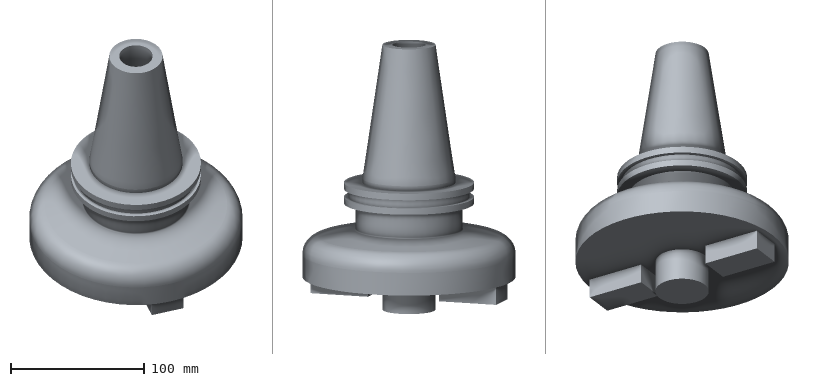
import cadquery as cq
import math


GAUGE_DIAMETER = 69.85
TAPER_END_DIAMETER = 40.0
TAPER_LENGTH = 101.6
BORE_DIAMETER = 25.0
BORE_DEPTH = 45.0

FLANGE_DIAMETER = 97.5
FLANGE_TOP = -3.2
FLANGE_BOTTOM = -19.1
GROOVE_DIAMETER = 91.0
GROOVE_TOP = -8.1
GROOVE_BOTTOM = -14.3

NECK_DIAMETER = 80.0
NECK_FILLET_RADIUS = 1.0
BODY_DIAMETER = 160.0
BODY_BOTTOM = -75.0
SHOULDER_RADIUS = 14.0
SHOULDER_BOTTOM = -57.7
SHOULDER_SLOPE = 10.0

PILOT_DIAMETER = 40.0
PILOT_BOTTOM = -100.0
KEY_WIDTH = 25.0
KEY_HEIGHT = 15.0
KEY_INNER_X = 28.3
KEY_OUTER_X = 73.7


def make_disc(diameter, bottom, top):
    return cq.Workplane("XY").workplane(offset=bottom).circle(diameter / 2).extrude(top - bottom)


def make_taper():
    profile = (
        cq.Workplane("XZ")
        .moveTo(0, 0)
        .lineTo(GAUGE_DIAMETER / 2, 0)
        .lineTo(TAPER_END_DIAMETER / 2, TAPER_LENGTH)
        .lineTo(0, TAPER_LENGTH)
        .close()
    )
    return profile.revolve(360, (0, 0, 0), (0, 1, 0))


def make_flange():
    upper_rim = make_disc(FLANGE_DIAMETER, GROOVE_TOP, FLANGE_TOP)
    groove_floor = make_disc(GROOVE_DIAMETER, GROOVE_BOTTOM, GROOVE_TOP)
    lower_rim = make_disc(FLANGE_DIAMETER, FLANGE_BOTTOM, GROOVE_BOTTOM)
    return upper_rim.union(groove_floor).union(lower_rim)


def make_body():
    """Neck filleted into a shallow cone, which runs tangentially into the rounded shoulder."""
    slope = math.radians(SHOULDER_SLOPE)
    body_radius = BODY_DIAMETER / 2
    neck_radius = NECK_DIAMETER / 2
    shoulder_x = body_radius - SHOULDER_RADIUS

    def shoulder_point(angle):
        return (
            shoulder_x + SHOULDER_RADIUS * math.cos(angle),
            SHOULDER_BOTTOM + SHOULDER_RADIUS * math.sin(angle),
        )

    shoulder_end_angle = math.pi / 2 - slope
    shoulder_end_x, shoulder_end_z = shoulder_point(shoulder_end_angle)
    corner_z = shoulder_end_z + (shoulder_end_x - neck_radius) * math.tan(slope)

    fillet_reach = NECK_FILLET_RADIUS * math.tan(shoulder_end_angle / 2)
    fillet_x = neck_radius + NECK_FILLET_RADIUS
    fillet_z = corner_z + fillet_reach

    def fillet_point(angle):
        return (
            fillet_x - NECK_FILLET_RADIUS * math.cos(angle),
            fillet_z - NECK_FILLET_RADIUS * math.sin(angle),
        )

    profile = (
        cq.Workplane("XZ")
        .moveTo(0, BODY_BOTTOM)
        .lineTo(body_radius, BODY_BOTTOM)
        .lineTo(body_radius, SHOULDER_BOTTOM)
        .threePointArc(shoulder_point(shoulder_end_angle / 2), (shoulder_end_x, shoulder_end_z))
        .lineTo(*fillet_point(shoulder_end_angle))
        .threePointArc(fillet_point(shoulder_end_angle / 2), fillet_point(0))
        .lineTo(neck_radius, FLANGE_BOTTOM)
        .lineTo(0, FLANGE_BOTTOM)
        .close()
    )
    return profile.revolve(360, (0, 0, 0), (0, 1, 0))


def make_key(side):
    length = KEY_OUTER_X - KEY_INNER_X
    center_x = side * (KEY_INNER_X + KEY_OUTER_X) / 2
    return (
        cq.Workplane("XY")
        .workplane(offset=BODY_BOTTOM - KEY_HEIGHT)
        .center(center_x, 0)
        .rect(length, KEY_WIDTH)
        .extrude(KEY_HEIGHT)
    )


result = (
    make_taper()
    .union(make_disc(GAUGE_DIAMETER, FLANGE_TOP, 0))
    .union(make_flange())
    .union(make_body())
    .union(make_disc(PILOT_DIAMETER, PILOT_BOTTOM, BODY_BOTTOM))
)
for side in (-1, 1):
    result = result.union(make_key(side))
result = result.cut(make_disc(BORE_DIAMETER, TAPER_LENGTH - BORE_DEPTH, TAPER_LENGTH))